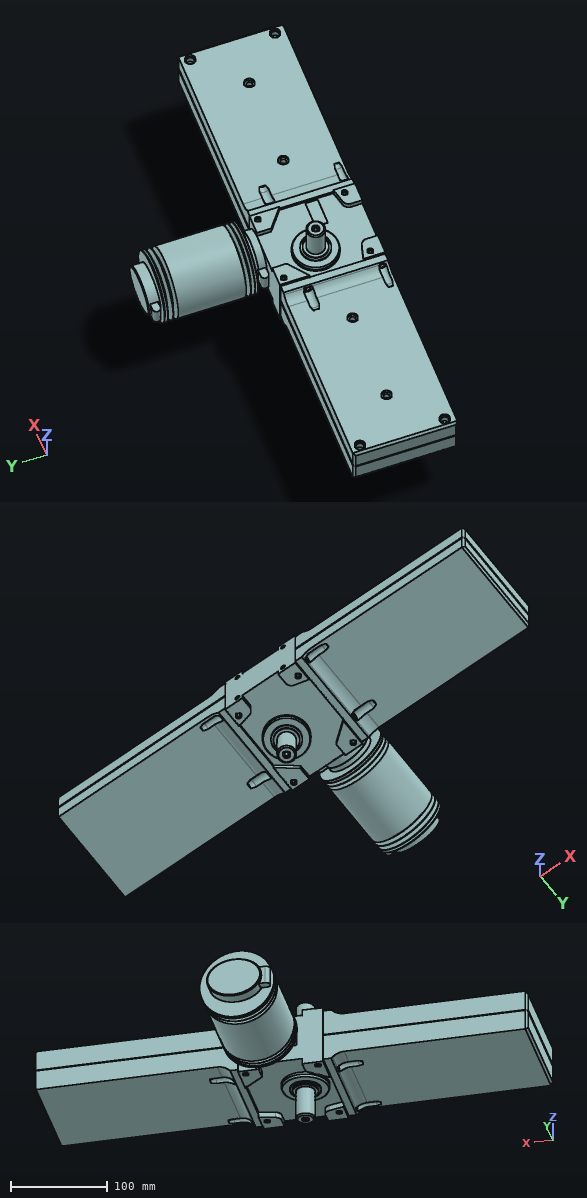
import cadquery as cq
import math

overall_length = 529.0
arm_width = 116.5
arm_height = 46.5
arm_end_chamfer = 2.5
seam_width = 0.5
seam_depth = 0.5

housing_length = 91.0
housing_width = 117.5
housing_height = 65.5
recess_height = 53.0
pad_inner_x = 23.5

shoulder_height = 59.0
shoulder_outer_x = 55.5
shoulder_chamfer_length = 1.5
shoulder_chamfer_height = 1.0
runout_radius = 17.0

shaft_x = -15.0
shaft_y = 66.0
shaft_length = 138.0
shaft_diameter = 20.0
shaft_chamfer = 1.5

motor_x = 18.5
motor_end_y = 250.0

arm_half_height = arm_height / 2
shoulder_half_height = shoulder_height / 2
half_length = overall_length / 2
housing_half_length = housing_length / 2
housing_half_height = housing_height / 2
recess_half_height = recess_height / 2
SIDES = (1, -1)


def upright_cylinder(x, y, z_low, z_high, diameter):
    return cq.Workplane("XY", origin=(x, y, z_low)).circle(diameter / 2).extrude(z_high - z_low)


def stepped_hole(x, y, top_z, diameters, depths):
    """Cutter for a counterbored hole: wide and narrow diameters, with the depth of each."""
    cutter = upright_cylinder(x, y, top_z - depths[0], top_z, diameters[0])
    return cutter.union(upright_cylinder(x, y, top_z - depths[1], top_z, diameters[1]))


def ring_outline(points):
    """Revolve a list of (radius, height) points about the Z axis of the shaft."""
    outline = cq.Workplane("XZ").polyline(points).close()
    return outline.revolve(360, (0, 0, 0), (0, 1, 0)).translate((shaft_x, shaft_y, 0))


pad_back_straight_y = 101.5
pad_back_edge_y = 84.0
pad_front_straight_y = 14.0
pad_front_round_mid = (25.0, 17.5)
pad_front_round_end = (28.5, 20.0)
pad_front_edge_y = 24.5

pad_hole_x = 38.5
pad_hole_ys = (14.5, 110.5)
pad_hole_diameters = (6.5, 3.25)
pad_hole_depths = (2.0, 8.0)

face_hole_x = 29.5
face_hole_z = 24.0
face_hole_diameter = 5.5
face_hole_depth = 8.0

flange_diameter = 51.0
flange_top_diameter = 48.5
flange_top_z = 32.0
flange_chamfer_height = 2.5
seal_diameter = 33.0
seal_step_z = 33.5
seal_top_diameter = 27.5
seal_top_z = 35.0

plate_length = 30.5
plate_width = 14.0
plate_thickness = 0.5
plate_center = (28.5, 49.0)


def corner_pads(side):
    """The two pads, back and front, at the +X or -X edge of both recessed faces."""
    edge_x = side * housing_half_length
    inner_x = side * pad_inner_x
    round_mid_x, round_mid_y = pad_front_round_mid
    round_end_x, round_end_y = pad_front_round_end
    back = (
        cq.Workplane("XY", origin=(0, 0, -housing_half_height))
        .moveTo(edge_x, housing_width)
        .lineTo(inner_x, housing_width)
        .lineTo(inner_x, pad_back_straight_y)
        .lineTo(edge_x, pad_back_edge_y)
        .close()
        .extrude(housing_height)
    )
    front = (
        cq.Workplane("XY", origin=(0, 0, -housing_half_height))
        .moveTo(edge_x, 0)
        .lineTo(inner_x, 0)
        .lineTo(inner_x, pad_front_straight_y)
        .threePointArc((side * round_mid_x, round_mid_y), (side * round_end_x, round_end_y))
        .lineTo(edge_x, pad_front_edge_y)
        .close()
        .extrude(housing_height)
    )
    return back.union(front)


def shaft_flange():
    straight_z = flange_top_z - flange_chamfer_height
    return ring_outline([
        (0, 0),
        (flange_diameter / 2, 0),
        (flange_diameter / 2, straight_z),
        (flange_top_diameter / 2, flange_top_z),
        (seal_diameter / 2, flange_top_z),
        (seal_diameter / 2, seal_step_z),
        (seal_top_diameter / 2, seal_step_z),
        (seal_top_diameter / 2, seal_top_z),
        (0, seal_top_z),
    ])


def build_housing():
    body = cq.Workplane("XY").box(
        housing_length, housing_width, recess_height, centered=(True, False, True)
    )
    for side in SIDES:
        body = body.union(corner_pads(side))

    flange = shaft_flange()
    body = body.union(flange).union(flange.mirror("XY"))

    plate = cq.Workplane("XY").box(
        plate_length, plate_width, plate_thickness, centered=(True, True, False)
    )
    body = body.union(plate.translate((*plate_center, recess_half_height)))

    for side in SIDES:
        for y in pad_hole_ys:
            hole = stepped_hole(
                side * pad_hole_x, y, housing_half_height, pad_hole_diameters, pad_hole_depths
            )
            body = body.cut(hole).cut(hole.mirror("XY"))

    face_holes = (
        cq.Workplane("XZ")
        .rect(2 * face_hole_x, 2 * face_hole_z, forConstruction=True)
        .vertices()
        .circle(face_hole_diameter / 2)
        .extrude(-face_hole_depth)
    )
    body = body.cut(face_holes)

    shaft_bore = upright_cylinder(shaft_x, shaft_y, -seal_top_z, seal_top_z, shaft_diameter)
    return body.cut(shaft_bore)


center_hole_diameters = (8.0, 4.1)
center_hole_depths = (2.0, 10.5)


def build_shaft():
    half = shaft_length / 2
    shaft = upright_cylinder(shaft_x, shaft_y, -half, half, shaft_diameter)
    shaft = shaft.faces("<Z or >Z").chamfer(shaft_chamfer)
    center_hole = stepped_hole(shaft_x, shaft_y, half, center_hole_diameters, center_hole_depths)
    return shaft.cut(center_hole).cut(center_hole.mirror("XY"))


corner_hole_x = 255.0
corner_hole_ys = (11.5, 106.0)
corner_hole_diameters = (11.0, 8.5)
middle_hole_xs = (104.0, 206.5)
middle_hole_y = arm_width / 2
middle_hole_diameters = (11.0, 6.5)
arm_hole_depths = (3.0, 10.5)

channels = ((7.5, 8.5), (90.0, 10.5))
channel_z = 25.0
channel_outer_x = 76.0
channel_tip_x = 81.5
channel_tip_diameter_ratio = 0.7
channel_inner_x = shoulder_outer_x
channel_bore_diameter = 5.5
channel_bore_end_x = 47.5


def screw_channel(y, diameter):
    """A round channel with a tapered outer end and a narrow bore at its inner end."""
    radius = diameter / 2
    bore_radius = channel_bore_diameter / 2
    tip_radius = radius * channel_tip_diameter_ratio
    outline = cq.Workplane("XY").polyline([
        (channel_bore_end_x, 0),
        (channel_bore_end_x, bore_radius),
        (channel_inner_x, bore_radius),
        (channel_inner_x, radius),
        (channel_outer_x, radius),
        (channel_tip_x, tip_radius),
        (channel_tip_x, 0),
    ]).close()
    return outline.revolve(360, (0, 0, 0), (1, 0, 0)).translate((0, y, channel_z))


runout_rise_total = shoulder_half_height - shoulder_chamfer_height - arm_half_height
runout_length = math.sqrt(runout_radius**2 - (runout_radius - runout_rise_total) ** 2)


def runout_rise(distance):
    """Height of the run-out arc above the arm face, at a distance from its lower end."""
    return runout_radius - math.sqrt(runout_radius**2 - distance**2)


def shoulder():
    """Raised stretch next to the housing, with its concave run-out onto the arm."""
    outline = (
        cq.Workplane("XZ")
        .moveTo(housing_half_length, 0)
        .lineTo(housing_half_length, shoulder_half_height)
        .lineTo(shoulder_outer_x - shoulder_chamfer_length, shoulder_half_height)
        .lineTo(shoulder_outer_x, shoulder_half_height - shoulder_chamfer_height)
        .threePointArc(
            (shoulder_outer_x + runout_length / 2, arm_half_height + runout_rise(runout_length / 2)),
            (shoulder_outer_x + runout_length, arm_half_height),
        )
        .lineTo(shoulder_outer_x + runout_length, 0)
        .close()
    )
    return outline.extrude(-arm_width)


def build_right_arm():
    length = half_length - housing_half_length
    arm = cq.Workplane("XY").box(
        length, arm_width, arm_height, centered=(False, False, True)
    ).translate((housing_half_length, 0, 0))
    arm = arm.faces(">X").chamfer(arm_end_chamfer)
    ramp = shoulder()
    arm = arm.union(ramp).union(ramp.mirror("XY"))

    for y, diameter in channels:
        channel = screw_channel(y, diameter)
        arm = arm.cut(channel).cut(channel.mirror("XY"))
    holes = [(corner_hole_x, y, corner_hole_diameters) for y in corner_hole_ys]
    holes += [(x, middle_hole_y, middle_hole_diameters) for x in middle_hole_xs]
    for x, y, diameters in holes:
        arm = arm.cut(stepped_hole(x, y, arm_half_height, diameters, arm_hole_depths))

    seam_outer = cq.Workplane("XY").box(
        2 * half_length, arm_width, seam_width, centered=(True, False, True)
    )
    seam_inner = cq.Workplane("XY").box(
        2 * (half_length - seam_depth), arm_width - 2 * seam_depth, seam_width,
        centered=(True, False, True),
    ).translate((0, seam_depth, 0))
    return arm.cut(seam_outer.cut(seam_inner))


motor_radius = 39.95
neck_radius = 26.5
collar_radius = 27.0
collar_end_y = 126.5
drum_start_y = 145.5
drum_end_y = 221.0
rim_width = 0.5
front_rims = ((132.0, 34.5), (135.5, 33.5), (140.0, 30.5))
back_rims = ((226.5, 30.0), (232.0, 36.0), (236.0, None))
drum_back_groove_radius = 32.5
cap_half_width = 29.0
cap_half_height = 22.0
cap_chamfer = 1.0

screw_diameter = 9.0
screw_length = 20.0
screw_x = -14.5
clamp_screw_ys = (122.5, 243.0)


def motor_disc(y_start, y_end, radius):
    return (
        cq.Workplane("XZ", origin=(motor_x, y_start, 0)).circle(radius).extrude(y_start - y_end)
    )


def clamp_screw(y):
    """Screw boss along Z at the -X side of a clamp ring, with the lug that carries it."""
    screw = upright_cylinder(screw_x, y, -screw_length / 2, screw_length / 2, screw_diameter)
    lug = cq.Workplane("XY").box(
        motor_x - screw_x, screw_diameter, screw_length, centered=(False, True, True)
    )
    return screw.union(lug.translate((screw_x, y, 0)))


def bellows_drum():
    """Revolved drum with V grooves between thin rims at both ends."""
    lands = [(y, y + rim_width, groove) for y, groove in front_rims]
    lands.append((drum_start_y, drum_end_y, drum_back_groove_radius))
    lands += [(y, y + rim_width, groove) for y, groove in back_rims]

    points = [(0, lands[0][0])]
    for index, (start, end, groove_radius) in enumerate(lands):
        points += [(motor_radius, start), (motor_radius, end)]
        if groove_radius is not None:
            next_start = lands[index + 1][0]
            points.append((groove_radius, (end + next_start) / 2))
    points.append((0, lands[-1][1]))
    outline = cq.Workplane("XY").polyline(points).close()
    return outline.revolve(360, (0, 0, 0), (0, 1, 0)).translate((motor_x, 0, 0))


def end_cap():
    start_y = back_rims[-1][0]
    cap = (
        cq.Workplane("XZ", origin=(motor_x, start_y, 0))
        .ellipse(cap_half_width, cap_half_height)
        .extrude(start_y - motor_end_y)
    )
    return cap.faces(">Y").chamfer(cap_chamfer)


def build_motor():
    motor = motor_disc(housing_width, collar_end_y, collar_radius)
    motor = motor.union(motor_disc(collar_end_y, front_rims[0][0], neck_radius))
    motor = motor.union(bellows_drum()).union(end_cap())
    for y in clamp_screw_ys:
        motor = motor.union(clamp_screw(y))
    return motor


housing = build_housing()
shaft = build_shaft()
motor = build_motor()
right_arm = build_right_arm()
left_arm = right_arm.mirror("YZ")

result = cq.Compound.makeCompound(
    [housing.val(), shaft.val(), motor.val(), right_arm.val(), left_arm.val()]
)